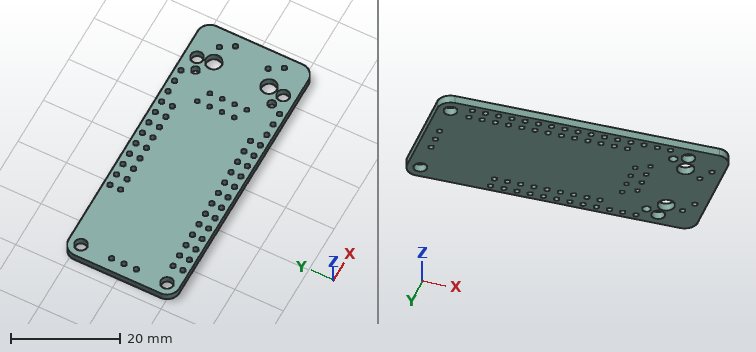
import cadquery as cq

LENGTH = 55.9
WIDTH = 22.85
THICKNESS = 1.6
HEADER_SPAN = 38.1
LONGEST_ROW_COUNT = 16
PITCH = HEADER_SPAN / (LONGEST_ROW_COUNT - 1)
CORNER_RADIUS = PITCH

PIN_DIAMETER = 1.0
JACK_PIN_DIAMETER = 0.9
SHIELD_DIAMETER = 1.6
MOUNT_DIAMETER = 2.5
PEG_DIAMETER = 3.2

MOUNT_LEFT_X = CORNER_RADIUS - LENGTH / 2
MOUNT_RIGHT_X = 20.35
MOUNT_Y = WIDTH / 2 - CORNER_RADIUS

HEADER_START_X = -21.6
OUTER_ROW_Y = 10.15
UPPER_INNER_ROW_Y = 8.0
LOWER_INNER_ROW_Y = -8.15
LOWER_INNER_COUNT = 13
UPPER_SKIPPED = 4

END_HEADER_COUNT = 3

JACK_PIN_X = 11.95
JACK_PIN_COUNT = 4
JACK_STAGGER = PITCH / 2
SHIELD_X = 17.75
SHIELD_Y = 7.9
PEG_X = 20.85
PEG_Y = 5.7
LAMP_INNER_X = 24.2
LAMP_OUTER_X = 25.7
LAMP_FAR_Y = 6.3
LAMP_NEAR_Y = LAMP_FAR_Y - PITCH


def row(start_x, y, count):
    """Centres of a pin row running along +X."""
    return [(start_x + i * PITCH, y) for i in range(count)]


def column(x, middle_y, count):
    """Centres of a pin column running along Y about middle_y."""
    return [(x, middle_y + (i - (count - 1) / 2) * PITCH) for i in range(count)]


def mirrored_pair(x, y):
    """Centres of two holes placed symmetrically about the X axis."""
    return [(x, y), (x, -y)]


def drill(board, centres, diameter):
    """Cut through holes of one diameter at the given centres."""
    cutters = cq.Workplane("XY").pushPoints(centres).circle(diameter / 2).extrude(THICKNESS)
    return board.cut(cutters)


board = (
    cq.Workplane("XY")
    .box(LENGTH, WIDTH, THICKNESS, centered=(True, True, False))
    .edges("|Z")
    .fillet(CORNER_RADIUS)
)

upper_start_x = HEADER_START_X + UPPER_SKIPPED * PITCH
pins = (
    row(HEADER_START_X, -OUTER_ROW_Y, LONGEST_ROW_COUNT)
    + row(HEADER_START_X, LOWER_INNER_ROW_Y, LOWER_INNER_COUNT)
    + row(upper_start_x, OUTER_ROW_Y, LONGEST_ROW_COUNT - UPPER_SKIPPED)
    + row(upper_start_x, UPPER_INNER_ROW_Y, LOWER_INNER_COUNT - UPPER_SKIPPED)
    + column(MOUNT_LEFT_X, 0, END_HEADER_COUNT)
)
lamp_leads = [
    (LAMP_INNER_X, LAMP_FAR_Y),
    (LAMP_OUTER_X, LAMP_NEAR_Y),
    (LAMP_INNER_X, -LAMP_NEAR_Y),
    (LAMP_OUTER_X, -LAMP_FAR_Y),
]
board = drill(board, pins + lamp_leads, PIN_DIAMETER)

jack_pins = (
    column(JACK_PIN_X, JACK_STAGGER / 2, JACK_PIN_COUNT)
    + column(JACK_PIN_X + PITCH, -JACK_STAGGER / 2, JACK_PIN_COUNT)
)
board = drill(board, jack_pins, JACK_PIN_DIAMETER)
board = drill(board, mirrored_pair(SHIELD_X, SHIELD_Y), SHIELD_DIAMETER)
board = drill(board, mirrored_pair(PEG_X, PEG_Y), PEG_DIAMETER)

mounts = mirrored_pair(MOUNT_LEFT_X, MOUNT_Y) + mirrored_pair(MOUNT_RIGHT_X, MOUNT_Y)
board = drill(board, mounts, MOUNT_DIAMETER)

result = board